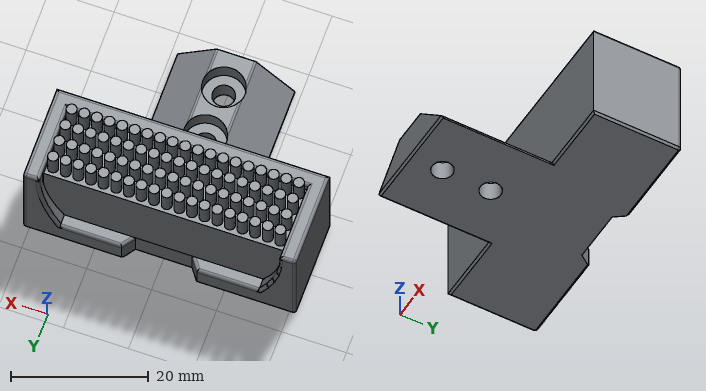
import cadquery as cq

housing_width = 42.0
housing_height = 17.6
wall = 2.5
back_opening_depth = 2.0
floor_thickness = 4.0
edge_radius = 0.5
base_chamfer = 0.35

block_width = housing_width - 2 * wall
block_depth = 10.3
block_top = 16.0
block_height = block_top - floor_thickness
pin_diameter = 1.6
pin_tip = 20.0
pin_columns = 19
pin_rows = 4
pin_margin = 1.0
pin_field_depth = 8.0
pin_pitch_x = (block_width - 2 * pin_margin) / (pin_columns - 1)
pin_pitch_y = pin_field_depth / (pin_rows - 1)
pin_middle_y = wall + pin_margin + pin_field_depth / 2

block_back = wall + block_depth
housing_depth = block_back + back_opening_depth

web_base_width = 3.2
web_top = housing_height - edge_radius
web_rise = web_top - floor_thickness
web_arc_radius = (web_rise**2 + web_base_width**2) / (2 * web_base_width)
web_taper = 0.6
web_root = floor_thickness / 2

notch_back_width = 11.6
notch_front_width = 8.7

overall_depth = 33.4
foot_length = overall_depth - housing_depth
foot_height = 6.3
foot_top_width = 6.0
foot_base_width = foot_top_width + 2 * foot_height
foot_root = wall / 2

screw_diameter = 3.4
counterbore_diameter = 6.5
counterbore_depth = 2.9
screw_spacing = 8.1
first_screw_y = -5.05
screw_count = 2

tolerance = 0.01


def block_from(width, depth, height, y, z):
    """Box centred on X = 0 whose front face is at y and whose base is at z."""
    return cq.Workplane("XY", origin=(0, y, z)).box(width, depth, height, centered=(True, False, False))


def make_shell():
    """Box open at the top and back, with rounded rims and a chamfered base."""
    cavity_depth = housing_depth - wall
    cavity = block_from(block_width, cavity_depth, housing_height, wall, floor_thickness)
    notch = (
        cq.Workplane("XY")
        .moveTo(-notch_front_width / 2, block_back)
        .lineTo(notch_front_width / 2, block_back)
        .lineTo(notch_back_width / 2, housing_depth)
        .lineTo(-notch_back_width / 2, housing_depth)
        .close()
        .extrude(housing_height)
    )
    shell = block_from(housing_width, housing_depth, housing_height, 0, 0).cut(cavity)
    shell = shell.edges("|Z and >Y and (<X or >X)").fillet(edge_radius)
    shell = shell.faces("<Z").edges().chamfer(base_chamfer)
    shell = shell.faces(">Z").edges().fillet(edge_radius)
    shell = shell.cut(notch)
    floor_rim = cq.selectors.BoxSelector(
        (-block_width / 2, block_back + tolerance, floor_thickness - tolerance),
        (block_width / 2, housing_depth + tolerance, floor_thickness + tolerance),
    )
    wall_feet = cq.selectors.StringSyntaxSelector("|Y")
    return shell.edges(floor_rim - wall_feet).fillet(edge_radius)


def make_web():
    """Right-hand web: hollow arc towards the opening, rounded at the back and tapered at the front."""
    outer_x = block_width / 2
    inner_x = outer_x - web_base_width
    web = (
        cq.Workplane("XZ", origin=(0, block_back, 0))
        .moveTo(outer_x, web_top)
        .radiusArc((inner_x, floor_thickness), web_arc_radius)
        .lineTo(inner_x, web_root)
        .lineTo(outer_x, web_root)
        .close()
        .extrude(-back_opening_depth)
    )
    taper = (
        cq.Workplane("XY", origin=(0, block_back, floor_thickness))
        .moveTo(inner_x, 0)
        .lineTo(outer_x, 0)
        .lineTo(outer_x, web_taper)
        .close()
        .extrude(web_rise)
    )
    return web.cut(taper)


def make_rear_rounding():
    """Ring cutter that rounds the back edge of the right-hand web along its arc."""
    inner = web_arc_radius
    arc_centre_x = block_width / 2 - web_arc_radius
    diagonal = edge_radius * (1 - 0.5**0.5)
    ring = (
        cq.Workplane("XY", origin=(arc_centre_x, housing_depth, web_top))
        .moveTo(inner, -edge_radius)
        .threePointArc((inner + diagonal, -diagonal), (inner + edge_radius, 0))
        .lineTo(inner, 0)
        .close()
        .revolve(360, (0, 0, 0), (0, 1, 0))
    )
    reach = cq.Workplane("XY", origin=(0, block_back, floor_thickness - edge_radius)).box(
        housing_width / 2,
        back_opening_depth,
        web_rise + edge_radius,
        centered=False,
    )
    return ring.intersect(reach)


def make_foot():
    """Bar with 45 degree sides, rounded top edges and a chamfered base, rooted in the front wall."""
    half_top = foot_top_width / 2
    half_base = foot_base_width / 2
    foot = (
        cq.Workplane("XZ", origin=(0, foot_root, 0))
        .polyline([(-half_base, 0), (half_base, 0), (half_top, foot_height), (-half_top, foot_height)])
        .close()
        .extrude(foot_length + foot_root)
    )
    foot = foot.faces(">Z").edges("|Y").fillet(edge_radius)
    return foot.faces("<Z").edges("not >Y").chamfer(base_chamfer)


def screw_hole_cutter(y):
    """Through hole with a counterbore open at the top of the foot."""
    shank = cq.Workplane("XY", origin=(0, y, 0)).circle(screw_diameter / 2).extrude(foot_height)
    head = (
        cq.Workplane("XY", origin=(0, y, foot_height - counterbore_depth))
        .circle(counterbore_diameter / 2)
        .extrude(counterbore_depth)
    )
    return shank.union(head)


def make_housing():
    """Shell, rear webs and mounting foot as one body."""
    housing = make_shell()
    web = make_web()
    housing = housing.union(web).union(web.mirror("YZ"))
    rounding = make_rear_rounding()
    housing = housing.cut(rounding).cut(rounding.mirror("YZ"))
    housing = housing.union(make_foot())
    for index in range(screw_count):
        housing = housing.cut(screw_hole_cutter(first_screw_y - index * screw_spacing))
    return housing


def make_pin_block():
    """Rectangular block filling the pocket, with a grid of upright pins."""
    base = block_from(block_width, block_depth, block_height, wall, floor_thickness)
    pins = (
        cq.Workplane("XY", origin=(0, pin_middle_y, block_top))
        .rarray(pin_pitch_x, pin_pitch_y, pin_columns, pin_rows)
        .circle(pin_diameter / 2)
        .extrude(pin_tip - block_top)
    )
    return base.union(pins)


housing = make_housing()
pin_block = make_pin_block()

result = cq.Compound.makeCompound([*housing.solids().vals(), *pin_block.solids().vals()])